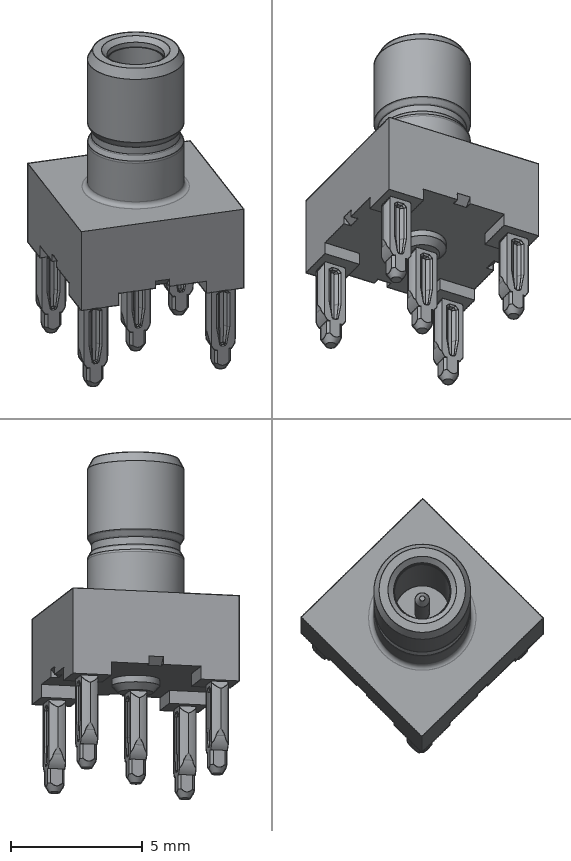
import cadquery as cq
import math

foot_bottom = 3.5
recess_roof = 4.0
notch_roof = 4.3
body_top = 6.8
total_height = 12.5

body_width = 6.5
foot_width = 1.5
notch_width = 0.55
notch_run = 0.3

boss_radius = 0.91
boss_chamfer = 0.25

barrel_radius = 1.84
barrel_flare = 0.2
rim_chamfer_width = 0.2
rim_chamfer_height = 0.38
groove_radius = 1.69
groove_edge_bevel = 0.04
groove_upper_edge = 9.49
groove_floor_top = 9.21
groove_floor_bottom = 8.92
groove_lower_edge = 8.7
lower_bevel_height = 0.09
slight_bevel_width = 0.01

mouth_radius = 1.3
collar_radius = 1.09
collar_top_depth = 0.18
collar_bottom_depth = 0.38
socket_radius = 1.05
socket_floor = 7.75

contact_radius = 0.28
contact_tip_radius = 0.1
contact_tip_length = 0.32
contact_top = 10.75

pin_pitch = 2.55
pin_half = 0.32
pin_corner_chamfer = 0.1
pin_tip_radius = 0.2
pin_tip_slope = 1.6
ridge_half = 0.59
shoulder_half = 0.46
flank_middle_x = 0.18
flank_middle_y = 0.54
bulge_top_half = 0.42
bulge_crown = 3.2
bulge_taper_top = 1.66
bulge_arc_top_half = 0.54
bulge_arc_top = 1.39
bulge_arc_middle_half = 0.46
bulge_arc_middle = 1.08
bulge_bottom = 0.86

eye_top = 3.34
eye_taper = 1.79
eye_bottom = 1.01
eye_mouth_half = 0.26
eye_mouth_end_half = 0.14
eye_lip_half = 0.18
eye_lip_end_half = 0.1
eye_lip_depth = 0.05
eye_lip_inset = 0.08
eye_floor_half = 0.08
eye_floor_end_half = 0.06
eye_floor_inset = 0.1
eye_depth = 0.2


def box(width_x, width_y, bottom, top):
    """Box centred on the Z axis between two levels."""
    return cq.Workplane("XY").workplane(offset=bottom).rect(width_x, width_y).extrude(top - bottom)


def edge_notch():
    """Wedge on the -Y edge of the recess roof, its ramp falling inward."""
    edge = -body_width / 2
    return (
        cq.Workplane("YZ")
        .polyline([(edge, recess_roof), (edge, notch_roof), (edge + notch_run, recess_roof)])
        .close()
        .extrude(notch_width / 2, both=True)
    )


def make_housing():
    """Square block standing on four corner feet, with a notch in each side."""
    housing = box(body_width, body_width, foot_bottom, body_top)
    gap = body_width - 2 * foot_width
    housing = housing.cut(box(gap, body_width, foot_bottom, recess_roof))
    housing = housing.cut(box(body_width, gap, foot_bottom, recess_roof))
    for side in range(4):
        housing = housing.cut(edge_notch().rotate((0, 0, 0), (0, 0, 1), 90 * side))
    boss = (
        cq.Workplane("XY")
        .workplane(offset=foot_bottom)
        .circle(boss_radius)
        .extrude(recess_roof - foot_bottom)
        .faces("<Z")
        .chamfer(boss_chamfer)
    )
    return housing.union(boss)


def make_barrel():
    """Grooved barrel with its flared root and stepped socket, turned about Z."""
    flare_middle = barrel_flare * (1 - math.sqrt(0.5))
    return (
        cq.Workplane("XZ")
        .moveTo(0, body_top)
        .lineTo(barrel_radius + barrel_flare, body_top)
        .threePointArc(
            (barrel_radius + flare_middle, body_top + flare_middle),
            (barrel_radius, body_top + barrel_flare),
        )
        .lineTo(barrel_radius, groove_lower_edge - lower_bevel_height)
        .lineTo(barrel_radius - slight_bevel_width, groove_lower_edge)
        .lineTo(groove_radius + groove_edge_bevel, groove_floor_bottom - groove_edge_bevel)
        .lineTo(groove_radius, groove_floor_bottom)
        .lineTo(groove_radius, groove_floor_top)
        .lineTo(groove_radius + slight_bevel_width, groove_floor_top + groove_edge_bevel)
        .lineTo(barrel_radius - slight_bevel_width, groove_upper_edge - groove_edge_bevel)
        .lineTo(barrel_radius, groove_upper_edge)
        .lineTo(barrel_radius, total_height - rim_chamfer_height)
        .lineTo(barrel_radius - rim_chamfer_width, total_height)
        .lineTo(mouth_radius, total_height)
        .lineTo(collar_radius, total_height - collar_top_depth)
        .lineTo(collar_radius, total_height - collar_bottom_depth)
        .lineTo(socket_radius, total_height - collar_bottom_depth)
        .lineTo(socket_radius, socket_floor)
        .lineTo(contact_radius, socket_floor)
        .lineTo(contact_radius, contact_top - contact_tip_length)
        .lineTo(contact_tip_radius, contact_top)
        .lineTo(0, contact_top)
        .close()
        .revolve(360, (0, 0, 0), (0, 1, 0))
    )


def make_bulge():
    """Wide part of a pin: pointed arches in plan, trimmed to a rounded side outline."""
    plan = (
        cq.Workplane("XY")
        .workplane(offset=bulge_bottom)
        .moveTo(pin_half, -shoulder_half)
        .lineTo(pin_half, shoulder_half)
        .threePointArc((flank_middle_x, flank_middle_y), (0, ridge_half))
        .threePointArc((-flank_middle_x, flank_middle_y), (-pin_half, shoulder_half))
        .lineTo(-pin_half, -shoulder_half)
        .threePointArc((-flank_middle_x, -flank_middle_y), (0, -ridge_half))
        .threePointArc((flank_middle_x, -flank_middle_y), (pin_half, -shoulder_half))
        .close()
        .extrude(foot_bottom - bulge_bottom)
    )
    outline = (
        cq.Workplane("YZ")
        .moveTo(-bulge_top_half, foot_bottom)
        .lineTo(bulge_top_half, foot_bottom)
        .lineTo(ridge_half, bulge_crown)
        .lineTo(ridge_half, bulge_taper_top)
        .lineTo(bulge_arc_top_half, bulge_arc_top)
        .threePointArc((bulge_arc_middle_half, bulge_arc_middle), (pin_half, bulge_bottom))
        .lineTo(-pin_half, bulge_bottom)
        .threePointArc(
            (-bulge_arc_middle_half, bulge_arc_middle), (-bulge_arc_top_half, bulge_arc_top)
        )
        .lineTo(-ridge_half, bulge_taper_top)
        .lineTo(-ridge_half, bulge_crown)
        .close()
        .extrude(pin_half, both=True)
    )
    return plan.intersect(outline)


def make_shank():
    """Slim lower end of a pin: a chamfered square bar trimmed by a conical tip."""
    bar = box(2 * pin_half, 2 * pin_half, 0, bulge_bottom).edges("|Z").chamfer(pin_corner_chamfer)
    tip = (
        cq.Workplane("XZ")
        .moveTo(0, 0)
        .lineTo(pin_tip_radius, 0)
        .lineTo(pin_tip_radius + bulge_bottom / pin_tip_slope, bulge_bottom)
        .lineTo(0, bulge_bottom)
        .close()
        .revolve(360, (0, 0, 0), (0, 1, 0))
    )
    return bar.intersect(tip)


def eye_outline(depth, half, end_half, inset):
    """Outline of the eye at a depth below the -X flat, its ends drawn in by an inset."""
    top = eye_top - inset
    bottom = eye_bottom + inset / 2
    corner = half / 2
    end_corner = end_half / 2
    return (
        cq.Workplane("YZ", origin=(depth - pin_half, 0, 0))
        .moveTo(corner - half, top)
        .lineTo(half - corner, top)
        .lineTo(half, top - corner)
        .lineTo(half, eye_taper)
        .lineTo(end_half, bottom + end_corner)
        .lineTo(end_half - end_corner, bottom)
        .lineTo(end_corner - end_half, bottom)
        .lineTo(-end_half, bottom + end_corner)
        .lineTo(-half, eye_taper)
        .lineTo(-half, top - corner)
        .close()
        .wires()
        .val()
    )


def make_eye():
    """Pocket in the -X flat, with a shallow bevel above steeper walls."""
    mouth = eye_outline(0, eye_mouth_half, eye_mouth_end_half, 0)
    lip = eye_outline(eye_lip_depth, eye_lip_half, eye_lip_end_half, eye_lip_inset)
    floor = eye_outline(eye_depth, eye_floor_half, eye_floor_end_half, eye_floor_inset)
    bevel = cq.Solid.makeLoft([mouth, lip], True)
    well = cq.Solid.makeLoft([lip, floor], True)
    return cq.Workplane(bevel).union(cq.Workplane(well))


def make_pin():
    """Press-fit pin with an eye in each of its two flat sides."""
    pin = make_bulge().union(make_shank())
    for turn in (0, 180):
        pin = pin.cut(make_eye().rotate((0, 0, 0), (0, 0, 1), turn))
    return pin


result = make_housing().union(make_barrel())
pin = make_pin()
pin_places = [(0, 0)] + [(x, y) for x in (-pin_pitch, pin_pitch) for y in (-pin_pitch, pin_pitch)]
for x, y in pin_places:
    result = result.union(pin.translate((x, y, 0)))